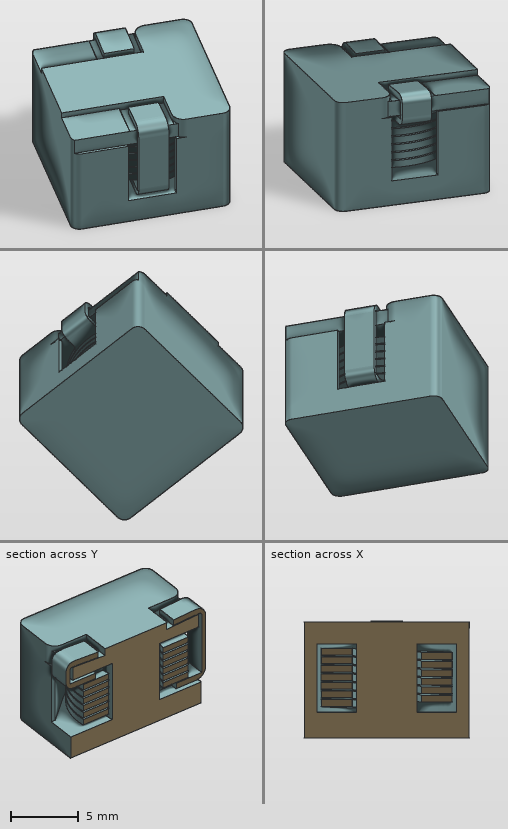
import cadquery as cq
import math

HOUSING_X = 12.0
HOUSING_Y = 12.21
HOUSING_Z = 8.6
HOUSING_CORNER_RADIUS = 0.7

RECESS_DEPTH = 0.45
SIDE_POCKET_DEPTH = 0.2
SIDE_POCKET_BOTTOM_Z = 6.95
RECESS_INNER_X = 2.86
RECESS_BACK_Y = 1.71
RECESS_EDGE_RADIUS = 0.9
SEAT_LENGTH = 3.38

CHAMBER_RADIUS = 5.15
CHAMBER_FLOOR_Z = 1.93
CHAMBER_CEILING_Z = SIDE_POCKET_BOTTOM_Z
POST_RADIUS = 2.25
WINDOW_WIDTH = 3.65
WINDOW_WALL = 0.36

WIRE_WIDTH = 2.32
WIRE_THICKNESS = 0.53
COIL_RADIUS = 4.86
COIL_PITCH = 0.63
FLAT_ANGLE = 30.0
HELIX_ANGLE = 2280.0
FIRST_TURN_Z = 2.5
LEAD_FILLET_RADIUS = 0.6

OVERALL_X = 12.87
LEG_THICKNESS = 0.4
LEG_INNER_RADIUS = 0.2
PAD_TIP_X = 3.45
PAD_FLAT = 0.22
PAD_TILT = 3.0
LEFT_BEND_RADIUS = 0.71
RIGHT_BEND_RADIUS = 0.91

SIDE_X = HOUSING_X / 2
FRONT_Y = -HOUSING_Y / 2
RECESS_FLOOR_Z = HOUSING_Z - RECESS_DEPTH
POCKET_WALL_X = SIDE_X - SIDE_POCKET_DEPTH
CHAMBER_HEIGHT = CHAMBER_CEILING_Z - CHAMBER_FLOOR_Z
COIL_MEAN_RADIUS = COIL_RADIUS - WIRE_WIDTH / 2
HELIX_RISE = COIL_PITCH * HELIX_ANGLE / 360
LAST_TURN_Z = FIRST_TURN_Z + HELIX_RISE
LEG_OUTER_X = OVERALL_X / 2
LEG_INNER_X = LEG_OUTER_X - LEG_THICKNESS
PAD_TOP_Z = RECESS_FLOOR_Z + WIRE_THICKNESS
LEFT = -1
RIGHT = 1


def box(x_range, y_range, z_range):
    """Block between two limits along each axis; limits may come in either order."""
    (x0, x1), (y0, y1), (z0, z1) = sorted(x_range), sorted(y_range), sorted(z_range)
    return cq.Workplane("XY").box(x1 - x0, y1 - y0, z1 - z0, centered=False).translate((x0, y0, z0))


def tilt_start_x(bend_radius):
    """Distance from the middle at which a pad starts to tilt down."""
    return LEG_OUTER_X - bend_radius - PAD_FLAT


def tilt_drop(bend_radius, x):
    """How far the tilted pad has dropped at distance x from the middle."""
    return (tilt_start_x(bend_radius) - x) * math.tan(math.radians(PAD_TILT))


def terminal_recess(side):
    """Shallow top recess and side pocket, both ending at one rounded edge."""
    arc_centre_x = SIDE_X - RECESS_EDGE_RADIUS
    arc_centre_y = RECESS_BACK_Y + RECESS_EDGE_RADIUS
    arc_offset = RECESS_EDGE_RADIUS * math.sqrt(0.5)
    plan = (
        cq.Workplane("XY", origin=(0, 0, SIDE_POCKET_BOTTOM_Z))
        .moveTo(side * RECESS_INNER_X, FRONT_Y)
        .lineTo(side * RECESS_INNER_X, RECESS_BACK_Y)
        .lineTo(side * arc_centre_x, RECESS_BACK_Y)
        .threePointArc(
            (side * (arc_centre_x + arc_offset), arc_centre_y - arc_offset),
            (side * SIDE_X, arc_centre_y),
        )
        .lineTo(side * SIDE_X, FRONT_Y)
        .close()
        .extrude(HOUSING_Z - SIDE_POCKET_BOTTOM_Z)
    )
    ledge = box(
        (0, side * POCKET_WALL_X),
        (FRONT_Y, -FRONT_Y),
        (SIDE_POCKET_BOTTOM_Z, RECESS_FLOOR_Z),
    )
    return plan.cut(ledge)


def pad_seat(side):
    """Floor of the recess sloping down towards the middle below the tilted pad."""
    slope_drop = (POCKET_WALL_X - RECESS_INNER_X) * math.tan(math.radians(PAD_TILT))
    return (
        cq.Workplane("XZ", origin=(0, RECESS_BACK_Y, 0))
        .moveTo(side * POCKET_WALL_X, RECESS_FLOOR_Z)
        .lineTo(side * RECESS_INNER_X, RECESS_FLOOR_Z)
        .lineTo(side * RECESS_INNER_X, RECESS_FLOOR_Z - slope_drop)
        .close()
        .extrude(SEAT_LENGTH)
    )


def winding_chamber():
    """Round chamber whose walls run tangentially out to a window on each side."""
    chamber = cq.Workplane("XY").circle(CHAMBER_RADIUS).extrude(CHAMBER_HEIGHT)
    jamb_x = SIDE_X - WINDOW_WALL
    jamb_y = WINDOW_WIDTH / 2
    jamb_distance = math.hypot(jamb_x, jamb_y)
    tangent_angle = math.atan2(jamb_y, jamb_x) + math.acos(CHAMBER_RADIUS / jamb_distance)
    tangent_x = CHAMBER_RADIUS * math.cos(tangent_angle)
    tangent_y = CHAMBER_RADIUS * math.sin(tangent_angle)
    for side in (LEFT, RIGHT):
        flare = (
            cq.Workplane("XY")
            .polyline([
                (0, -tangent_y),
                (side * tangent_x, -tangent_y),
                (side * jamb_x, -jamb_y),
                (side * jamb_x, jamb_y),
                (side * tangent_x, tangent_y),
                (0, tangent_y),
            ])
            .close()
            .extrude(CHAMBER_HEIGHT)
        )
        chamber = chamber.union(flare)
    windows = box((-SIDE_X, SIDE_X), (-jamb_y, jamb_y), (0, CHAMBER_HEIGHT))
    post = cq.Workplane("XY").circle(POST_RADIUS).extrude(CHAMBER_HEIGHT)
    return chamber.union(windows).cut(post).translate((0, 0, CHAMBER_FLOOR_Z))


def make_housing():
    block = (
        cq.Workplane("XY")
        .box(HOUSING_X, HOUSING_Y, HOUSING_Z, centered=(True, True, False))
        .edges("|Z")
        .fillet(HOUSING_CORNER_RADIUS)
    )
    for side in (LEFT, RIGHT):
        block = block.cut(terminal_recess(side)).cut(pad_seat(side))
    return block.cut(winding_chamber())


def wire_section():
    """Upright wire cross-section on the +X axis."""
    return cq.Workplane("XZ").center(COIL_MEAN_RADIUS, 0).rect(WIRE_WIDTH, WIRE_THICKNESS)


def helical_turns():
    helix = cq.Wire.makeHelix(COIL_PITCH, HELIX_RISE, COIL_MEAN_RADIUS)
    turns = wire_section().sweep(cq.Workplane(helix), isFrenet=True)
    return turns.rotate((0, 0, 0), (0, 0, 1), FLAT_ANGLE).translate((0, 0, FIRST_TURN_Z))


def level_turn(start_angle, mid_z):
    """Level stretch of winding running counter-clockwise from start_angle."""
    turn = wire_section().revolve(FLAT_ANGLE, (-COIL_MEAN_RADIUS, 0, 0), (-COIL_MEAN_RADIUS, 1, 0))
    return turn.rotate((0, 0, 0), (0, 0, 1), start_angle).translate((0, 0, mid_z))


def lead_fillet(side, mid_z):
    """Web filling the corner between the lead's +Y edge and the coil's outer face."""
    edge_y = WIRE_WIDTH / 2
    centre_y = edge_y + LEAD_FILLET_RADIUS
    centre_distance = COIL_RADIUS + LEAD_FILLET_RADIUS
    centre_x = math.sqrt(centre_distance**2 - centre_y**2)
    touch_x = centre_x * COIL_RADIUS / centre_distance
    touch_y = centre_y * COIL_RADIUS / centre_distance
    web = (
        cq.Workplane("XY", origin=(0, 0, mid_z))
        .polyline([
            (side * COIL_MEAN_RADIUS, edge_y),
            (side * centre_x, edge_y),
            (side * centre_x, centre_y),
            (side * touch_x, touch_y),
        ])
        .close()
        .extrude(WIRE_THICKNESS / 2, both=True)
    )
    round_cut = (
        cq.Workplane("XY", origin=(side * centre_x, centre_y, mid_z))
        .circle(LEAD_FILLET_RADIUS)
        .extrude(WIRE_THICKNESS / 2, both=True)
    )
    return web.cut(round_cut)


def terminal(side, bend_radius, mid_z):
    """Lead, upright leg and tilted pad as one bent strip."""
    lead_bottom_z = mid_z - WIRE_THICKNESS / 2
    lead_top_z = mid_z + WIRE_THICKNESS / 2
    tip_drop = tilt_drop(bend_radius, PAD_TIP_X)
    tilt_x = tilt_start_x(bend_radius)
    profile = [
        (PAD_TIP_X, PAD_TOP_Z - tip_drop),
        (tilt_x, PAD_TOP_Z),
        (LEG_OUTER_X, PAD_TOP_Z),
        (LEG_OUTER_X, lead_bottom_z),
        (COIL_MEAN_RADIUS, lead_bottom_z),
        (COIL_MEAN_RADIUS, lead_top_z),
        (LEG_INNER_X, lead_top_z),
        (LEG_INNER_X, RECESS_FLOOR_Z),
        (tilt_x, RECESS_FLOOR_Z),
        (PAD_TIP_X, RECESS_FLOOR_Z - tip_drop),
    ]
    strip = (
        cq.Workplane("XZ")
        .polyline([(side * x, z) for x, z in profile])
        .close()
        .extrude(WIRE_WIDTH / 2, both=True)
    )
    bends = (
        (LEG_OUTER_X, PAD_TOP_Z, bend_radius),
        (LEG_OUTER_X, lead_bottom_z, bend_radius),
        (LEG_INNER_X, RECESS_FLOOR_Z, LEG_INNER_RADIUS),
    )
    for x, z, radius in bends:
        strip = strip.edges(cq.NearestToPointSelector((side * x, 0, z))).fillet(radius)
    return strip


def make_coil():
    coil = helical_turns()
    ends = (
        (RIGHT, RIGHT_BEND_RADIUS, 0.0, FIRST_TURN_Z),
        (LEFT, LEFT_BEND_RADIUS, 180.0 - FLAT_ANGLE, LAST_TURN_Z),
    )
    for side, bend_radius, start_angle, mid_z in ends:
        coil = coil.union(level_turn(start_angle, mid_z))
        coil = coil.union(terminal(side, bend_radius, mid_z))
        coil = coil.union(lead_fillet(side, mid_z))
    return coil


housing = make_housing()
coil = make_coil()
result = cq.Compound.makeCompound([housing.val(), coil.val()])